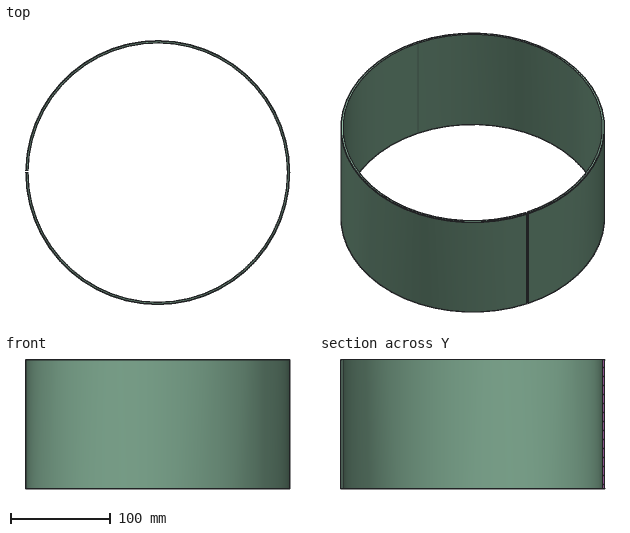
import cadquery as cq

outer_diameter = 265.0
height = 130.0
wall = 2.5
rim_chamfer = 0.5
slit_width = 2.0

outer_radius = outer_diameter / 2

body = cq.Workplane("XY").circle(outer_radius).extrude(height).edges("%CIRCLE").chamfer(rim_chamfer)
bore = cq.Workplane("XY").circle(outer_radius - wall).extrude(height)
sleeve = body.cut(bore)

slit_length = 4 * wall
slit = (
    cq.Workplane("XY")
    .center(-outer_radius, slit_width / 2)
    .rect(slit_length, slit_width)
    .extrude(height)
)

result = sleeve.cut(slit)